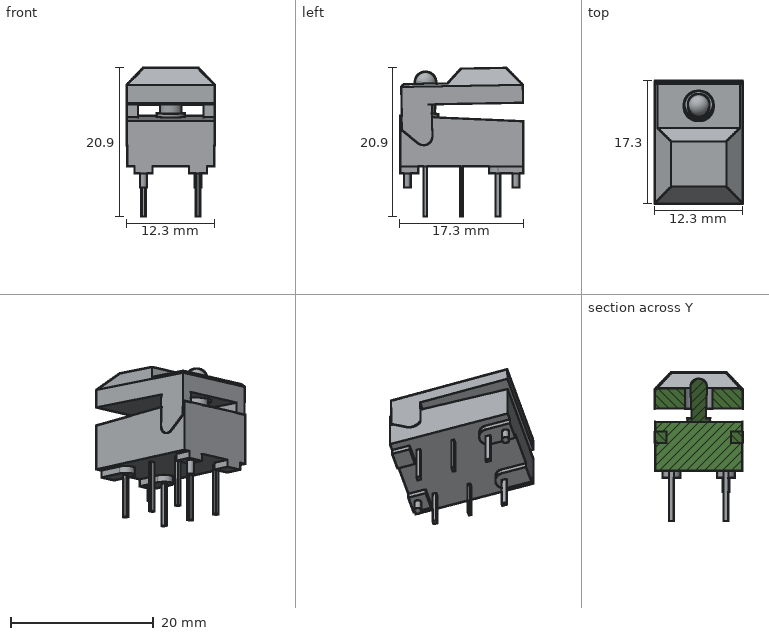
import cadquery as cq
import math


HOUSING_WIDTH = 12.22
HOUSING_LENGTH = 17.27
HOUSING_FRONT_HEIGHT = 6.32
HOUSING_TOP_TILT = 2.5
TILT_SLOPE = math.tan(math.radians(HOUSING_TOP_TILT))

ROW_X = 3.82
TERMINAL_PITCH = 5.1
FRONT_TERMINAL_Y = 3.57
TERMINAL_TIP_DEPTH = 7.05
TERMINAL_WIDTH = 0.7
TERMINAL_THICKNESS = 0.4
REAR_TERMINAL_SIDE = 0.55
FOOT_WIDTH = 2.55
FOOT_HEIGHT = 1.0
REAR_FOOT_LENGTH = 2.57
PEG_DIAMETER = 1.0
PEG_TIP_DEPTH = 2.98
PEG_INSET = 1.02

PIVOT_Y = 13.98
PIVOT_Z = 4.17
CAP_TILT = 1.0
CAP_WIDTH = 12.35
CAP_FRONT = -14.04
CAP_REAR = 3.02
CAP_UNDERSIDE = 4.46
CAP_RIM = 6.99
CAP_DECK = 7.38
CAP_TOP = 9.43
BEVEL_INSET = 2.32
BEVEL_RUN = BEVEL_INSET / (CAP_TOP - CAP_RIM)
STEP_FOOT_Y = -3.46
LEG_WIDTH = 1.6
LEG_RADIUS = 1.23
LEG_CUT_ANGLE = 40.0
LAMP_HOLE_DIAMETER = 4.23
LAMP_HOLE_Y = -0.38

LAMP_BASE_Y = 13.91
LAMP_DIAMETER = 3.05
LAMP_FLANGE_DIAMETER = 3.98
LAMP_FLANGE_HEIGHT = 0.5
LAMP_HEIGHT = 6.35


def housing_top(y):
    """Height of the sloping housing top at a distance y from the front."""
    return HOUSING_FRONT_HEIGHT + y * TILT_SLOPE


def hanging_box(x, y, size_x, size_y, depth):
    """Box hanging below the housing underside, centred on (x, y)."""
    return cq.Workplane("XY").center(x, y).rect(size_x, size_y).extrude(-depth)


def hanging_cylinder(x, y, diameter, depth):
    """Cylinder hanging below the housing underside."""
    return cq.Workplane("XY").center(x, y).circle(diameter / 2).extrude(-depth)


def make_feet(x):
    """Round-ended front foot, concentric with the front terminal, and a square rear foot."""
    front_block = hanging_box(x, FRONT_TERMINAL_Y / 2, FOOT_WIDTH, FRONT_TERMINAL_Y, FOOT_HEIGHT)
    front_round = hanging_cylinder(x, FRONT_TERMINAL_Y, FOOT_WIDTH, FOOT_HEIGHT)
    rear_y = HOUSING_LENGTH - REAR_FOOT_LENGTH / 2
    rear_block = hanging_box(x, rear_y, FOOT_WIDTH, REAR_FOOT_LENGTH, FOOT_HEIGHT)
    return front_block.union(front_round).union(rear_block)


def make_terminals(x):
    """Row of three terminals from front to back."""
    sections = [
        (TERMINAL_THICKNESS, TERMINAL_WIDTH),
        (TERMINAL_WIDTH, TERMINAL_THICKNESS),
        (REAR_TERMINAL_SIDE, REAR_TERMINAL_SIDE),
    ]
    row = cq.Workplane("XY")
    for index, (size_x, size_y) in enumerate(sections):
        y = FRONT_TERMINAL_Y + index * TERMINAL_PITCH
        row = row.union(hanging_box(x, y, size_x, size_y, TERMINAL_TIP_DEPTH))
    return row


def make_cap():
    """Bevelled push cap with two side legs and a clearance hole for the lamp."""
    cut_angle = math.radians(LEG_CUT_ANGLE)
    tangent_y = LEG_RADIUS * math.sin(cut_angle)
    tangent_z = -LEG_RADIUS * math.cos(cut_angle)
    leg_rear_z = tangent_z + (CAP_REAR - tangent_y) * math.tan(cut_angle)
    arc_mid_angle = math.radians(180 + (90 + LEG_CUT_ANGLE) / 2)
    step_run = (CAP_TOP - CAP_DECK) * BEVEL_RUN

    cap = (
        cq.Workplane("YZ")
        .moveTo(CAP_FRONT, CAP_UNDERSIDE)
        .lineTo(-LEG_RADIUS, CAP_UNDERSIDE)
        .lineTo(-LEG_RADIUS, 0)
        .threePointArc(
            (LEG_RADIUS * math.cos(arc_mid_angle), LEG_RADIUS * math.sin(arc_mid_angle)),
            (tangent_y, tangent_z),
        )
        .lineTo(CAP_REAR, leg_rear_z)
        .lineTo(CAP_REAR, CAP_RIM)
        .lineTo(CAP_REAR - (CAP_DECK - CAP_RIM) * BEVEL_RUN, CAP_DECK)
        .lineTo(STEP_FOOT_Y, CAP_DECK)
        .lineTo(STEP_FOOT_Y - step_run, CAP_TOP)
        .lineTo(CAP_FRONT + BEVEL_INSET, CAP_TOP)
        .lineTo(CAP_FRONT, CAP_RIM)
        .close()
        .extrude(CAP_WIDTH / 2, both=True)
    )

    for side in (-1, 1):
        bevel = (
            cq.Workplane("XZ", origin=(0, CAP_REAR, 0))
            .moveTo(side * CAP_WIDTH / 2, CAP_RIM)
            .lineTo(side * (CAP_WIDTH / 2 - BEVEL_INSET), CAP_TOP)
            .lineTo(side * CAP_WIDTH / 2, CAP_TOP)
            .close()
            .extrude(CAP_REAR - CAP_FRONT)
        )
        cap = cap.cut(bevel)

    opening = (
        cq.Workplane("XY", origin=(0, 0, CAP_UNDERSIDE))
        .rect(CAP_WIDTH - 2 * LEG_WIDTH, 2 * HOUSING_LENGTH)
        .extrude(-(CAP_UNDERSIDE + LEG_RADIUS))
    )
    lamp_hole = (
        cq.Workplane("XY", origin=(0, LAMP_HOLE_Y, CAP_UNDERSIDE))
        .circle(LAMP_HOLE_DIAMETER / 2)
        .extrude(CAP_TOP - CAP_UNDERSIDE)
    )
    cap = cap.cut(opening).cut(lamp_hole)
    return cap.rotate((0, 0, 0), (1, 0, 0), -CAP_TILT).translate((0, PIVOT_Y, PIVOT_Z))


def make_housing(cap):
    """Wedge-topped housing with feet, terminals, pegs and a recess for each cap leg."""
    housing = (
        cq.Workplane("YZ")
        .moveTo(0, 0)
        .lineTo(HOUSING_LENGTH, 0)
        .lineTo(HOUSING_LENGTH, housing_top(HOUSING_LENGTH))
        .lineTo(0, HOUSING_FRONT_HEIGHT)
        .close()
        .extrude(HOUSING_WIDTH / 2, both=True)
    )
    for x in (-ROW_X, ROW_X):
        housing = housing.union(make_feet(x)).union(make_terminals(x))

    for x, y in [(-ROW_X, PEG_INSET), (ROW_X, HOUSING_LENGTH - PEG_INSET)]:
        housing = housing.union(hanging_cylinder(x, y, PEG_DIAMETER, PEG_TIP_DEPTH))
    return housing.cut(cap)


def make_lamp():
    """Domed lamp with a base flange resting on the housing top."""
    radius = LAMP_DIAMETER / 2
    dome_z = LAMP_HEIGHT - radius
    flange_radius = LAMP_FLANGE_DIAMETER / 2
    lamp = (
        cq.Workplane("XZ")
        .moveTo(0, 0)
        .lineTo(flange_radius, 0)
        .lineTo(flange_radius, LAMP_FLANGE_HEIGHT)
        .lineTo(radius, LAMP_FLANGE_HEIGHT)
        .lineTo(radius, dome_z)
        .threePointArc(
            (radius * math.cos(math.pi / 4), dome_z + radius * math.sin(math.pi / 4)),
            (0, LAMP_HEIGHT),
        )
        .close()
        .revolve(360, (0, 0, 0), (0, 1, 0))
    )
    tilted = lamp.rotate((0, 0, 0), (1, 0, 0), HOUSING_TOP_TILT)
    return tilted.translate((0, LAMP_BASE_Y, housing_top(LAMP_BASE_Y)))


cap = make_cap()
housing = make_housing(cap)
lamp = make_lamp()

result = cq.Compound.makeCompound([housing.val(), cap.val(), lamp.val()])